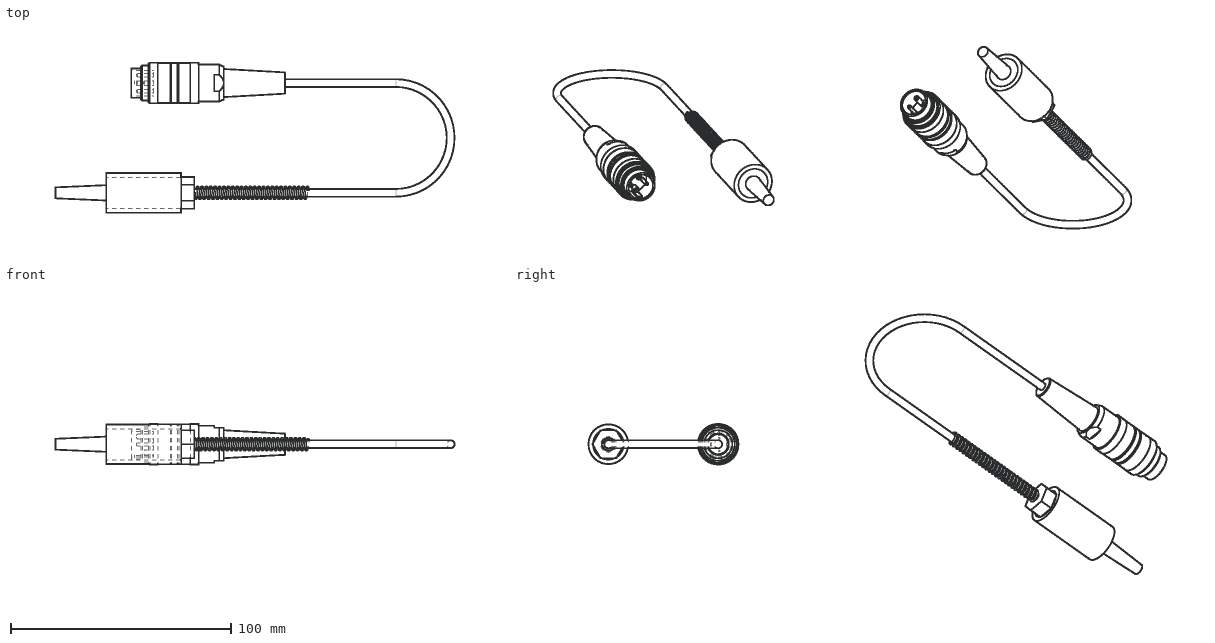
import cadquery as cq
total_length = 181.3
axis_spacing = 49.9
cable_diameter = 3.6
bend_radius = axis_spacing / 2
bend_x = total_length - bend_radius - cable_diameter / 2

tip_length = 23.0
tip_end_diameter = 5.0
tip_root_diameter = 7.0
core_diameter = 14.0
sleeve_diameter = 18.1
sleeve_length = 34.1
hex_across_corners = 14.5
hex_thickness = 6.0
sleeve_end_x = tip_length + sleeve_length
hex_end_x = sleeve_end_x + hex_thickness

wire_diameter = 1.0
coil_mean_diameter = 4.9
coil_pitch = 2.0
coil_turns = 25.9
coil_length = coil_pitch * coil_turns

nose_x = 34.5
collar_x = 38.8
ring_x = 42.3
ring_front_band_x = 46.6
first_groove_x = 52.4
second_groove_x = 55.7
ring_rear_band_x = 61.3
ring_end_x = 65.1
flat_x = 72.2
shoulder_x = 74.3
boot_x = 76.5
boot_end_x = 104.5

nose_diameter = 13.5
collar_diameter = 16.0
ring_diameter = 18.5
ring_middle_diameter = 18.3
body_diameter = 16.9
shoulder_end_diameter = 15.0
boot_root_diameter = 12.9
boot_end_diameter = 9.8
edge_chamfer = 0.5
boot_chamfer = 0.4
groove_width = 0.5
groove_depth = 0.4
wrench_flat_width = 15.0
socket_diameter = 11.6
socket_depth = 10.0

contact_circle_radius = 3.6
large_contact_diameter = 2.2
small_contact_diameter = 1.49
contact_tip_depth = 2.2
lower_contact_tip_depth = 5.5
contact_tip_chamfer = 0.5
key_width = 2.2
key_height = 0.7
key_front_gap = 1.5


def cylinder_along_x(x_start, length, diameter, y=0.0, z=0.0):
    """Cylinder whose axis is parallel to X."""
    return cq.Workplane("YZ", origin=(x_start, y, z)).circle(diameter / 2).extrude(length)


def make_sleeve():
    """Plain tube around the core of the probe."""
    tube = cylinder_along_x(tip_length, sleeve_length, sleeve_diameter)
    return tube.cut(cylinder_along_x(tip_length, sleeve_length, core_diameter))


def make_probe_core():
    """Tapered tip on a cylinder that fills the sleeve."""
    outline = [
        (0, 0),
        (0, tip_end_diameter / 2),
        (tip_length, tip_root_diameter / 2),
        (tip_length, core_diameter / 2),
        (sleeve_end_x, core_diameter / 2),
        (sleeve_end_x, 0),
    ]
    return cq.Workplane("XY").polyline(outline).close().revolve(360, (0, 0, 0), (1, 0, 0))


def make_hexagon():
    """Hexagonal end behind the sleeve, with two corners on +Y and -Y."""
    plane = cq.Workplane("YZ", origin=(sleeve_end_x, 0, 0))
    return plane.polygon(6, hex_across_corners).extrude(hex_thickness)


def make_cable():
    """U-shaped cable from the hexagonal end to the rear of the boot."""
    path = (
        cq.Workplane("XY")
        .moveTo(hex_end_x, 0)
        .lineTo(bend_x, 0)
        .threePointArc((bend_x + bend_radius, bend_radius), (bend_x, axis_spacing))
        .lineTo(boot_end_x, axis_spacing)
    )
    return cq.Workplane("YZ", origin=(hex_end_x, 0, 0)).circle(cable_diameter / 2).sweep(path)


def make_coil():
    """Right-handed coil around the cable, rooted in the hexagonal end on the +Z side."""
    coil_radius = coil_mean_diameter / 2
    helix = cq.Wire.makeHelix(coil_pitch, coil_length, coil_radius)
    profile = cq.Workplane("XZ", origin=(coil_radius, 0, 0)).circle(wire_diameter / 2)
    coil = profile.sweep(cq.Workplane(obj=helix), isFrenet=True)
    coil = coil.rotate((0, 0, 0), (0, 1, 0), 90).rotate((0, 0, 0), (1, 0, 0), 180)
    return coil.translate((hex_end_x, 0, 0))


def make_probe():
    """Core, hexagonal end, cable and strain-relief coil as one body."""
    return make_probe_core().union(make_hexagon()).union(make_cable()).union(make_coil())


def make_connector_shell():
    """Turned outside of the connector with its tapered boot."""
    outline = [
        (nose_x, 0),
        (nose_x, nose_diameter / 2),
        (collar_x, nose_diameter / 2),
        (collar_x, collar_diameter / 2 - edge_chamfer),
        (collar_x + edge_chamfer, collar_diameter / 2),
        (ring_x, collar_diameter / 2),
        (ring_x, ring_diameter / 2 - edge_chamfer),
        (ring_x + edge_chamfer, ring_diameter / 2),
        (ring_front_band_x, ring_diameter / 2),
        (ring_front_band_x, ring_middle_diameter / 2),
        (ring_rear_band_x, ring_middle_diameter / 2),
        (ring_rear_band_x, ring_diameter / 2),
        (ring_end_x, ring_diameter / 2),
        (ring_end_x, body_diameter / 2),
        (shoulder_x, body_diameter / 2),
        (boot_x, shoulder_end_diameter / 2),
        (boot_x, boot_root_diameter / 2),
        (boot_end_x - boot_chamfer, boot_end_diameter / 2),
        (boot_end_x, boot_end_diameter / 2 - boot_chamfer),
        (boot_end_x, 0),
    ]
    shell = cq.Workplane("XY").polyline(outline).close().revolve(360, (0, 0, 0), (1, 0, 0))
    return shell.translate((0, axis_spacing, 0))


def make_ring_groove(x_center):
    """Annular cutter for a groove around the coupling ring."""
    x_start = x_center - groove_width / 2
    outer = cylinder_along_x(x_start, groove_width, ring_diameter, axis_spacing)
    inner = cylinder_along_x(x_start, groove_width, ring_middle_diameter - 2 * groove_depth, axis_spacing)
    return outer.cut(inner)


def make_wrench_flat_cutter(side):
    """Block that cuts the flat on the +Z (side = 1) or -Z (side = -1) face."""
    block_height = body_diameter - wrench_flat_width
    z_center = side * (wrench_flat_width + block_height) / 2
    x_center = (flat_x + boot_x) / 2
    block = cq.Workplane("XY").box(boot_x - flat_x, body_diameter, block_height)
    return block.translate((x_center, axis_spacing, z_center))


def make_contact(diameter, tip_depth, y_offset, z_offset):
    """Pin from the socket floor with a chamfered tip, placed from the connector axis."""
    length = socket_depth - tip_depth
    pin = cylinder_along_x(nose_x + tip_depth, length, diameter, axis_spacing + y_offset, z_offset)
    return pin.faces("<X").chamfer(contact_tip_chamfer)


def make_contacts():
    """Small pins on either side, large pins above and below; the lower pin sits deeper."""
    radius = contact_circle_radius
    return [
        make_contact(small_contact_diameter, contact_tip_depth, radius, 0),
        make_contact(small_contact_diameter, contact_tip_depth, -radius, 0),
        make_contact(large_contact_diameter, contact_tip_depth, 0, radius),
        make_contact(large_contact_diameter, lower_contact_tip_depth, 0, -radius),
    ]


def make_key():
    """Locating key along the lower wall of the socket."""
    key_length = socket_depth - key_front_gap
    wall_radius = (socket_diameter + nose_diameter) / 4
    key_top = key_height - socket_diameter / 2
    block_height = key_top + wall_radius
    block = cq.Workplane("XY").box(key_length, key_width, block_height)
    x_center = nose_x + key_front_gap + key_length / 2
    return block.translate((x_center, axis_spacing, key_top - block_height / 2))


def make_connector():
    connector = make_connector_shell()
    for x_center in (first_groove_x, second_groove_x):
        connector = connector.cut(make_ring_groove(x_center))
    for side in (1, -1):
        connector = connector.cut(make_wrench_flat_cutter(side))
    connector = connector.cut(cylinder_along_x(nose_x, socket_depth, socket_diameter, axis_spacing))
    for contact in make_contacts():
        connector = connector.union(contact)
    return connector.union(make_key())


sleeve = make_sleeve()
probe = make_probe()
connector = make_connector()

result = cq.Compound.makeCompound([
    *sleeve.solids().vals(),
    *probe.solids().vals(),
    *connector.solids().vals(),
])